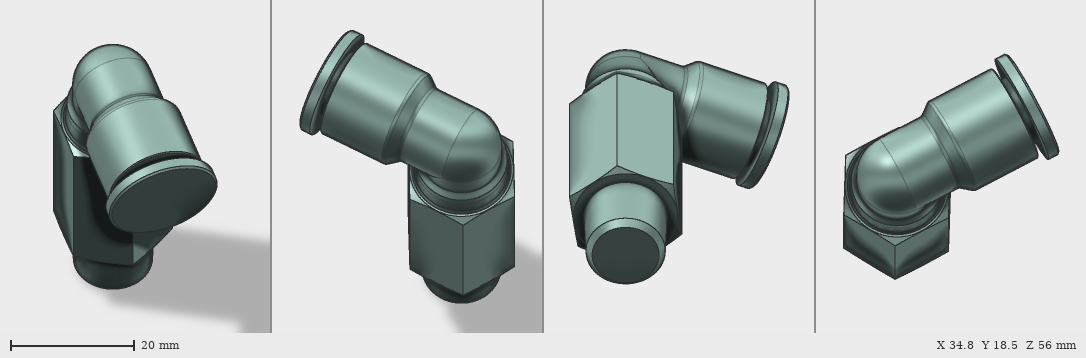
import cadquery as cq
import math


hex_flats = 17.0
hex_corners = hex_flats / math.cos(math.pi / 6)
hex_bottom = 11.0
hex_top = 38.8
hex_chamfer_angle = 20.0
hex_face_radius = 8.45
trim_clearance = 0.55

thread_top_radius = 6.75
thread_bottom_radius = 6.45
thread_chamfer_height = 1.2
thread_tip_radius = 5.4

flare_radius = 8.05
collar_base = (0.5, 7.7)
collar_waist = (2.7, 7.5)
collar_shoulder = (4.1, 7.45)
collar_neck_height = 5.05

overall_height = 55.95
overall_length = 34.8
elbow_radius = 6.55
socket_radius = 8.15
socket_axis_height = overall_height - socket_radius
socket_cone_start = 7.95
socket_cone_end = 10.0
socket_blend = 0.9
socket_end = 21.65
socket_end_chamfer = 0.15

ring_end = overall_length - hex_corners / 2
ring_thickness = 2.0
ring_start = ring_end - ring_thickness
ring_neck_radius = 5.9
ring_half_width = 18.5 / 2
ring_half_height = 8.0
ring_chamfer = 0.35


def turned_on_z(profile):
    """Solid of revolution about Z from (radius, z) points; the axis closes it."""
    points = [(0, profile[0][1])] + profile + [(0, profile[-1][1])]
    return cq.Workplane("XZ").polyline(points).close().revolve(360, (0, 0), (0, 1))


def hexagon():
    prism = (
        cq.Workplane("XY")
        .workplane(offset=hex_bottom)
        .polygon(6, hex_corners)
        .extrude(hex_top - hex_bottom)
    )
    reach = hex_corners / 2 + trim_clearance
    drop = (reach - hex_face_radius) * math.tan(math.radians(hex_chamfer_angle))
    envelope = turned_on_z([
        (hex_face_radius, hex_bottom),
        (reach, hex_bottom + drop),
        (reach, hex_top - drop),
        (hex_face_radius, hex_top),
    ])
    return prism.intersect(envelope)


def thread_stem():
    return turned_on_z([
        (thread_tip_radius, 0),
        (thread_bottom_radius, thread_chamfer_height),
        (thread_top_radius, hex_bottom),
    ])


def collar():
    profile = [(flare_radius, hex_top)]
    for height, radius in (collar_base, collar_waist, collar_shoulder):
        profile.append((radius, hex_top + height))
    profile.append((elbow_radius, hex_top + collar_neck_height))
    return turned_on_z(profile)


def elbow():
    upright = (
        cq.Workplane("XY")
        .workplane(offset=hex_top)
        .circle(elbow_radius)
        .extrude(socket_axis_height - hex_top)
    )
    corner = cq.Workplane("XY").sphere(elbow_radius).translate((0, 0, socket_axis_height))
    return upright.union(corner)


def socket():
    turned = (
        cq.Workplane("XY")
        .polyline([
            (0, 0),
            (0, elbow_radius),
            (socket_cone_start, elbow_radius),
            (socket_cone_end, socket_radius),
            (socket_end, socket_radius),
            (socket_end, 0),
        ])
        .close()
        .revolve(360, (0, 0), (1, 0))
    )
    blended = turned.faces("%CONE").edges("%CIRCLE").fillet(socket_blend)
    chamfered = blended.faces(">X").chamfer(socket_end_chamfer)
    return chamfered.translate((0, 0, socket_axis_height))


def release_ring():
    neck = (
        cq.Workplane("YZ", origin=(socket_end, 0, socket_axis_height))
        .circle(ring_neck_radius)
        .extrude(ring_start - socket_end)
    )
    ring = (
        cq.Workplane("YZ", origin=(ring_start, 0, socket_axis_height))
        .ellipse(ring_half_width, ring_half_height)
        .extrude(ring_thickness)
        .faces(">X")
        .chamfer(ring_chamfer)
    )
    return neck.union(ring)


result = thread_stem()
for piece in (hexagon(), collar(), elbow(), socket(), release_ring()):
    result = result.union(piece)